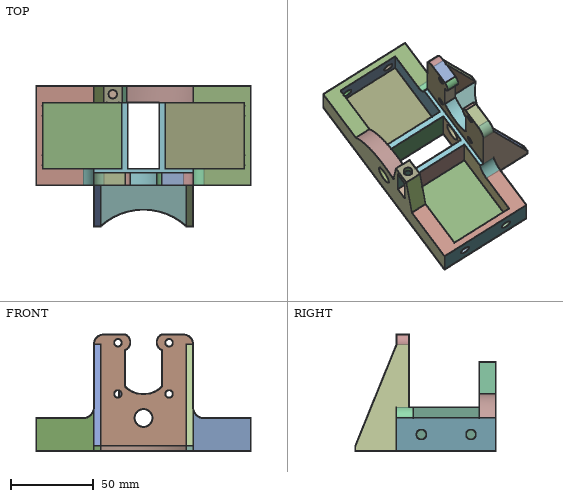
import cadquery as cq
import math

LENGTH = 130.0
DEPTH = 60.0
TRAY_HEIGHT = 20.0
FLOOR = 3.0
END_WALL = 4.0
FRONT_WALL = 10.0
REAR_WALL = 10.0
DIVIDER_HEIGHT = 26.5
DIVIDER_OUTER_X = 13.1
SLOT_WIDTH = 19.0
POCKET_DEPTH = DEPTH - FRONT_WALL - REAR_WALL
POCKET_LENGTH = LENGTH / 2 - END_WALL - DIVIDER_OUTER_X

PLATE_HALF = 30.0
PLATE_TOP = 70.6
PLATE_THICKNESS = 7.7
CORNER_RADIUS = 6.0
MOTOR_Z = 50.0
MOTOR_BORE_RADIUS = 15.6
MOUTH_HALF = 11.0
LOBE_TIP_X = 7.9
MOTOR_HOLE_PITCH = 31.0
MOTOR_HOLE_DIAMETER = 4.4
FILLET_RADIUS = DIVIDER_HEIGHT - TRAY_HEIGHT

FOOT_REACH = 25.0
FOOT_THICKNESS = 3.1
FOOT_ARC_REACH = 14.8
GUSSET_THICKNESS = 4.0

DOME_TOP = 34.8
POST_TOP = 54.0
POST_TOP_LEFT = -24.0
POST_TOP_RIGHT = -12.9
POST_FOOT_RIGHT = -8.6
WINDOW_LEFT = -22.2
WINDOW_RIGHT = -15.0
WINDOW_BOTTOM = 27.0
WINDOW_TOP = 49.0
POST_HOLE_DIAMETER = 5.2

SHAFT_HOLE_DIAMETER = 10.7
SHAFT_Z = TRAY_HEIGHT
SIDE_HOLE_DIAMETER = 6.0
SIDE_HOLE_Z = TRAY_HEIGHT / 2
SIDE_HOLE_INSET = DEPTH / 4


def box(x_min, x_max, y_min, y_max, z_min, z_max):
    size = (x_max - x_min, y_max - y_min, z_max - z_min)
    return cq.Workplane("XY").box(*size, centered=False).translate((x_min, y_min, z_min))


def front_sketch(y):
    """XZ sketch at the given Y; a positive extrusion runs toward -Y."""
    return cq.Workplane("XZ", origin=(0, y, 0))


def make_tray():
    half = LENGTH / 2
    tray = box(-half, half, 0, DEPTH, 0, TRAY_HEIGHT)
    rear_y = DEPTH - REAR_WALL
    tray = tray.union(
        box(-DIVIDER_OUTER_X, DIVIDER_OUTER_X, FRONT_WALL, rear_y, 0, DIVIDER_HEIGHT)
    )
    pocket_x = DIVIDER_OUTER_X + POCKET_LENGTH / 2
    pockets = (
        cq.Workplane("XY", origin=(0, FRONT_WALL + POCKET_DEPTH / 2, FLOOR))
        .pushPoints([(-pocket_x, 0), (pocket_x, 0)])
        .rect(POCKET_LENGTH, POCKET_DEPTH)
        .extrude(TRAY_HEIGHT)
    )
    slot = box(-SLOT_WIDTH / 2, SLOT_WIDTH / 2, FRONT_WALL, rear_y, 0, DIVIDER_HEIGHT)
    return tray.cut(pockets).cut(slot)


def make_plate_base():
    """Thick lower part of the motor plate with a concave fillet on each side."""
    outer = PLATE_HALF + FILLET_RADIUS
    diagonal = FILLET_RADIUS * math.sqrt(0.5)
    arc_x = outer - diagonal
    arc_z = DIVIDER_HEIGHT - diagonal
    return (
        front_sketch(FRONT_WALL)
        .moveTo(-outer, 0)
        .lineTo(outer, 0)
        .lineTo(outer, TRAY_HEIGHT)
        .threePointArc((arc_x, arc_z), (PLATE_HALF, DIVIDER_HEIGHT))
        .lineTo(-PLATE_HALF, DIVIDER_HEIGHT)
        .threePointArc((-arc_x, arc_z), (-outer, TRAY_HEIGHT))
        .close()
        .extrude(FRONT_WALL)
    )


def make_motor_plate():
    plate = box(-PLATE_HALF, PLATE_HALF, 0, PLATE_THICKNESS, 0, PLATE_TOP)
    plate = plate.edges("|Y and >Z").fillet(CORNER_RADIUS)

    chord_rise = math.sqrt(MOTOR_BORE_RADIUS**2 - MOUTH_HALF**2)
    mouth_low = MOTOR_Z - chord_rise
    lobe_low = MOTOR_Z + chord_rise
    lobe_middle = (lobe_low + PLATE_TOP) / 2
    mouth = (
        front_sketch(PLATE_THICKNESS)
        .moveTo(-MOUTH_HALF, mouth_low)
        .threePointArc((0, MOTOR_Z - MOTOR_BORE_RADIUS), (MOUTH_HALF, mouth_low))
        .lineTo(MOUTH_HALF, lobe_low)
        .threePointArc((LOBE_TIP_X, lobe_middle), (MOUTH_HALF, PLATE_TOP))
        .lineTo(-MOUTH_HALF, PLATE_TOP)
        .threePointArc((-LOBE_TIP_X, lobe_middle), (-MOUTH_HALF, lobe_low))
        .close()
        .extrude(PLATE_THICKNESS)
    )
    holes = (
        front_sketch(PLATE_THICKNESS)
        .center(0, MOTOR_Z)
        .rect(MOTOR_HOLE_PITCH, MOTOR_HOLE_PITCH, forConstruction=True)
        .vertices()
        .circle(MOTOR_HOLE_DIAMETER / 2)
        .extrude(PLATE_THICKNESS)
    )
    return plate.cut(mouth).cut(holes)


def make_foot():
    inner_x = PLATE_HALF - GUSSET_THICKNESS
    foot = (
        cq.Workplane("XY")
        .moveTo(-inner_x, 0)
        .lineTo(-inner_x, -FOOT_REACH)
        .threePointArc((0, -FOOT_ARC_REACH), (inner_x, -FOOT_REACH))
        .lineTo(inner_x, 0)
        .close()
        .extrude(FOOT_THICKNESS)
    )
    gusset_top = PLATE_TOP - CORNER_RADIUS
    profile = [(0, 0), (-FOOT_REACH, 0), (-FOOT_REACH, FOOT_THICKNESS), (0, gusset_top)]
    for start_x in (-PLATE_HALF, inner_x):
        gusset = cq.Workplane("YZ", origin=(start_x, 0, 0)).polyline(profile).close()
        foot = foot.union(gusset.extrude(GUSSET_THICKNESS))
    return foot


def make_rear_support():
    dome = (
        front_sketch(DEPTH)
        .moveTo(-PLATE_HALF, TRAY_HEIGHT)
        .threePointArc((0, DOME_TOP), (PLATE_HALF, TRAY_HEIGHT))
        .close()
        .extrude(REAR_WALL)
    )
    post = (
        front_sketch(DEPTH)
        .moveTo(-PLATE_HALF, TRAY_HEIGHT)
        .lineTo(POST_TOP_LEFT, POST_TOP)
        .lineTo(POST_TOP_RIGHT, POST_TOP)
        .lineTo(POST_FOOT_RIGHT, TRAY_HEIGHT)
        .close()
        .extrude(REAR_WALL)
    )
    rear_y = DEPTH - REAR_WALL
    window = box(WINDOW_LEFT, WINDOW_RIGHT, rear_y, DEPTH, WINDOW_BOTTOM, WINDOW_TOP)
    hole_x = (WINDOW_LEFT + WINDOW_RIGHT) / 2
    hole_y = DEPTH - REAR_WALL / 2
    top_hole = (
        cq.Workplane("XY", origin=(hole_x, hole_y, WINDOW_TOP))
        .circle(POST_HOLE_DIAMETER / 2)
        .extrude(POST_TOP - WINDOW_TOP)
    )
    return dome.union(post).cut(window).cut(top_hole)


def make_shaft_bore():
    """Bore along Y through the front plate and the rear wall."""
    return front_sketch(DEPTH).center(0, SHAFT_Z).circle(SHAFT_HOLE_DIAMETER / 2).extrude(DEPTH)


def make_side_holes():
    """Two holes through each end wall, opening into the pockets."""
    cutters = cq.Workplane("XY")
    for start_x in (-LENGTH / 2, LENGTH / 2 - END_WALL):
        holes = (
            cq.Workplane("YZ", origin=(start_x, 0, SIDE_HOLE_Z))
            .pushPoints([(SIDE_HOLE_INSET, 0), (DEPTH - SIDE_HOLE_INSET, 0)])
            .circle(SIDE_HOLE_DIAMETER / 2)
            .extrude(END_WALL)
        )
        cutters = cutters.add(holes)
    return cutters.combine()


body = make_tray().union(make_plate_base()).union(make_motor_plate())
body = body.union(make_foot()).union(make_rear_support())
result = body.cut(make_shaft_bore()).cut(make_side_holes())